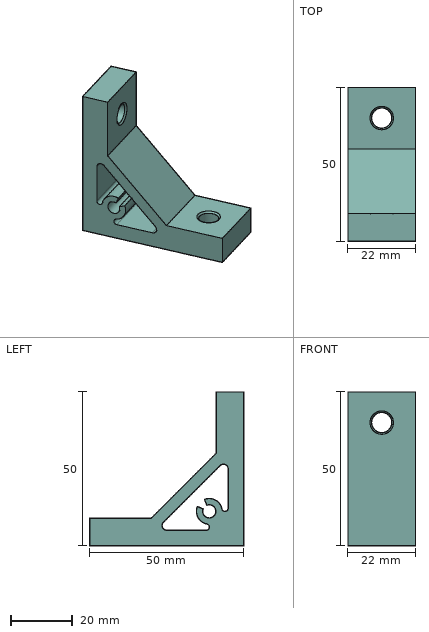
import cadquery as cq
import math

width = 22.0
leg_length = 50.0
leg_thickness = 9.0
brace_start = 30.0

window_wall = 5.1
brace_thickness = 3.75
window_corner_radius = 1.5
window_end_radius = 1.0

clip_center = 11.2
clip_outer_radius = 4.2
clip_bore_radius = 2.1
clip_gap_angle = 45.0

brace_normal_angle = 45.0
wall_normal_angle = -90.0

hole_diameter = 6.5
hole_end_distance = 10.0
hole_chamfer = 0.55


def polar_point(center, radius, angle_degrees):
    """Point at the given radius and angle around a center in the YZ plane."""
    angle = math.radians(angle_degrees)
    return (center[0] + radius * math.cos(angle), center[1] + radius * math.sin(angle))


def swap(point):
    """Mirror image of a point in the plane Y = Z."""
    return (point[1], point[0])


def side_profile():
    """Workplane on the -X side, with local axes Y and Z."""
    return cq.Workplane("YZ", origin=(-width / 2, 0, 0))


def make_body():
    outline = [
        (0, 0),
        (leg_length, 0),
        (leg_length, leg_thickness),
        (brace_start, leg_thickness),
        (leg_thickness, brace_start),
        (leg_thickness, leg_length),
        (0, leg_length),
    ]
    return side_profile().polyline(outline).close().extrude(width)


def make_window():
    """Window between the legs, the brace and the clip, including the clip's gap and bore."""
    brace_line_sum = leg_thickness + brace_start - brace_thickness * math.sqrt(2)
    tip = brace_line_sum - window_wall
    corner_center = (
        tip - window_corner_radius / math.tan(math.radians(brace_normal_angle / 2)),
        window_wall + window_corner_radius,
    )
    corner_floor = polar_point(corner_center, window_corner_radius, wall_normal_angle)
    corner_middle_angle = (wall_normal_angle + brace_normal_angle) / 2
    corner_side = polar_point(corner_center, window_corner_radius, corner_middle_angle)
    corner_brace = polar_point(corner_center, window_corner_radius, brace_normal_angle)

    end_height = window_wall + window_end_radius
    center_distance = clip_outer_radius + window_end_radius
    drop = clip_center - end_height
    end_center = (clip_center + math.sqrt(center_distance**2 - drop**2), end_height)
    end_floor = polar_point(end_center, window_end_radius, wall_normal_angle)
    end_side_angle = 180
    end_side = polar_point(end_center, window_end_radius, end_side_angle)

    clip = (clip_center, clip_center)
    tangent_angle = math.degrees(math.atan2(end_center[1] - clip_center, end_center[0] - clip_center))
    arm_angle = brace_normal_angle - clip_gap_angle / 2
    end_clip = polar_point(clip, clip_outer_radius, tangent_angle)
    arm_middle = polar_point(clip, clip_outer_radius, (tangent_angle + arm_angle) / 2)
    arm_outer = polar_point(clip, clip_outer_radius, arm_angle)
    arm_inner = polar_point(clip, clip_bore_radius, arm_angle)
    bore_far_side = polar_point(clip, clip_bore_radius, brace_normal_angle + 180)

    outline = (
        side_profile()
        .moveTo(*end_floor)
        .lineTo(*corner_floor)
        .threePointArc(corner_side, corner_brace)
        .lineTo(*swap(corner_brace))
        .threePointArc(swap(corner_side), swap(corner_floor))
        .lineTo(*swap(end_floor))
        .threePointArc(swap(end_side), swap(end_clip))
        .threePointArc(swap(arm_middle), swap(arm_outer))
        .lineTo(*swap(arm_inner))
        .threePointArc(bore_far_side, arm_inner)
        .lineTo(*arm_outer)
        .threePointArc(arm_middle, end_clip)
        .threePointArc(end_side, end_floor)
        .close()
    )
    return outline.extrude(width)


def make_hole_cutter(start, direction):
    """Through hole with a chamfer at both faces of a leg."""
    radius = hole_diameter / 2
    mouth_radius = radius + hole_chamfer
    point = cq.Vector(*start)
    axis = cq.Vector(*direction)
    far_mouth = point + axis * (leg_thickness - hole_chamfer)
    bore = cq.Solid.makeCylinder(radius, leg_thickness, point, axis)
    near_cone = cq.Solid.makeCone(mouth_radius, radius, hole_chamfer, point, axis)
    far_cone = cq.Solid.makeCone(radius, mouth_radius, hole_chamfer, far_mouth, axis)
    return bore.fuse(near_cone, far_cone)


hole_position = leg_length - hole_end_distance

result = make_body().cut(make_window())
result = result.cut(make_hole_cutter((0, 0, hole_position), (0, 1, 0)))
result = result.cut(make_hole_cutter((0, hole_position, 0), (0, 0, 1)))